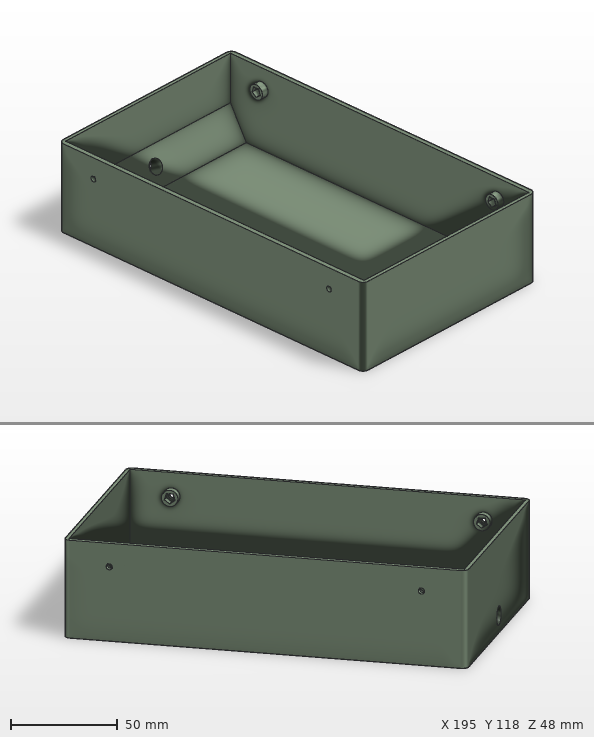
import cadquery as cq
import math

length = 195.0
width = 118.0
height = 48.0
end_wall = 2.0
side_wall = 2.5
floor = 3.7
corner_radius = 3.1

boss_diameter = 8.0
boss_length = 3.9
socket_sides = 5
socket_corner_diameter = 5.5
screw_hole_diameter = 3.0
boss_end_distance = 22.0
boss_depth_below_rim = 11.5

ramp_angle = 60.0
ramp_run = 10.1
ramp_hole_diameter = 8.0

inner_length = length - 2 * end_wall
inner_width = width - 2 * side_wall
inner_end = -inner_length / 2
ramp_rise = ramp_run * math.tan(math.radians(ramp_angle))
boss_x = length / 2 - boss_end_distance
boss_z = height - boss_depth_below_rim
wall_face = inner_width / 2
boss_face = wall_face - boss_length
mid_wall = wall_face + side_wall / 2


def make_tray():
    outside = cq.Workplane("XY").box(length, width, height, centered=(True, True, False))
    outside = outside.edges("|Z").fillet(corner_radius)
    cavity = cq.Workplane("XY").box(inner_length, inner_width, height, centered=(True, True, False))
    return outside.cut(cavity.translate((0, 0, floor)))


def make_ramp():
    profile = [
        (inner_end, floor),
        (inner_end + ramp_run, floor),
        (inner_end, floor + ramp_rise),
    ]
    return cq.Workplane("XZ").polyline(profile).close().extrude(wall_face, both=True)


def make_ramp_hole():
    """Cylinder through the middle of the ramp face, reaching past the outer wall."""
    angle = math.radians(ramp_angle)
    normal = cq.Vector(math.sin(angle), 0, math.cos(angle))
    face_center = cq.Vector(inner_end + ramp_run / 2, 0, floor + ramp_rise / 2)
    reach = 2 * (ramp_run + end_wall)
    start = face_center - normal * reach
    return cq.Solid.makeCylinder(ramp_hole_diameter / 2, 2 * reach, start, normal)


def wall_cylinder(diameter, x, side, y_from, y_to):
    """Cylinder at boss height, running inward between two distances from the Y mid-plane."""
    start = cq.Vector(x, side * y_from, boss_z)
    return cq.Solid.makeCylinder(diameter / 2, y_from - y_to, start, cq.Vector(0, -side, 0))


def make_socket(x, side):
    """Five-sided pocket through the boss down to the wall, with one corner pointing down."""
    corner_angles = [math.radians(-90 + 360 * i / socket_sides) for i in range(socket_sides)]
    socket_radius = socket_corner_diameter / 2
    corners = [
        (x + socket_radius * math.cos(angle), boss_z + socket_radius * math.sin(angle))
        for angle in corner_angles
    ]
    plane = cq.Workplane("XZ", origin=(0, side * wall_face, 0))
    return plane.polyline(corners).close().extrude(side * boss_length)


result = make_tray().union(make_ramp()).cut(make_ramp_hole())
for x in (-boss_x, boss_x):
    for side in (-1, 1):
        boss = wall_cylinder(boss_diameter, x, side, mid_wall, boss_face)
        result = result.union(boss)
        result = result.cut(make_socket(x, side))
        result = result.cut(wall_cylinder(screw_hole_diameter, x, side, width / 2, boss_face))